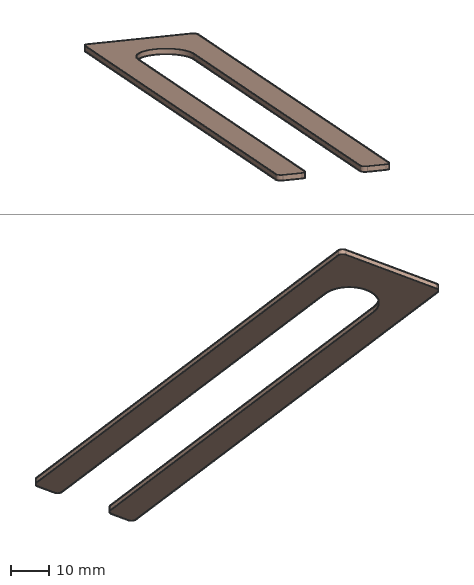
import cadquery as cq

length = 139.7
width = 31.7
thickness = 1.5

slot_width = 15.5
slot_radius = slot_width / 2
web = 11.2

corner_radius = 1.4


def build_plate():
    """Flat rectangular plate centred on the origin."""
    return cq.Workplane("XY").box(length, width, thickness)


def build_slot():
    """Cutter for the slot: a round end followed by a straight run to the +X edge."""
    slot_end_x = -length / 2 + web
    arc_centre_x = slot_end_x + slot_radius
    return (
        cq.Workplane("XY")
        .moveTo(length / 2, -slot_radius)
        .lineTo(arc_centre_x, -slot_radius)
        .threePointArc((slot_end_x, 0), (arc_centre_x, slot_radius))
        .lineTo(length / 2, slot_radius)
        .close()
        .extrude(thickness, both=True)
    )


fork = build_plate().cut(build_slot())

result = fork.edges("|Z and (<X or >X)").fillet(corner_radius)